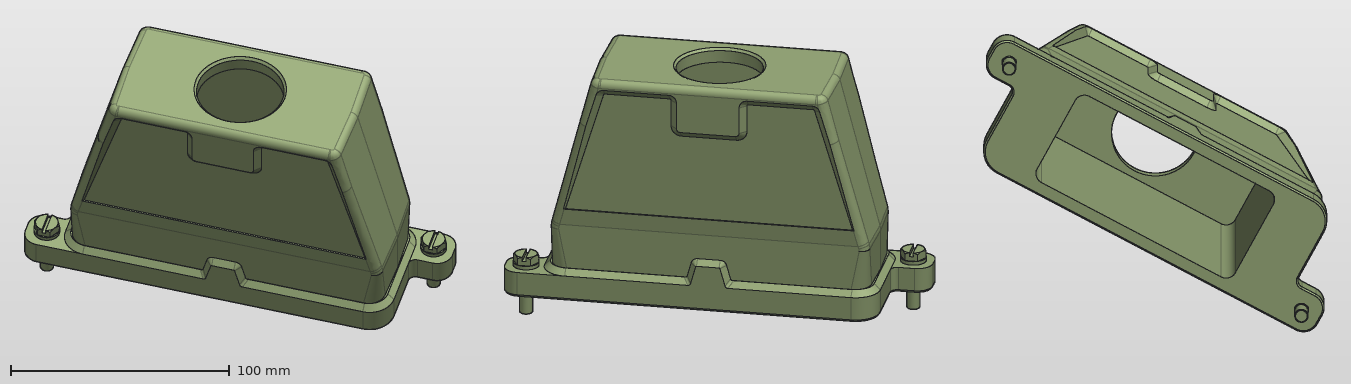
import cadquery as cq
import math

TOTAL_LENGTH = 192.0
FLANGE_LENGTH = 156.3
FLANGE_WIDTH = 58.0
FLANGE_HEIGHT = 12.0
FLANGE_CORNER_RADIUS = 11.5
RIM_HEIGHT = 2.9
BOTTOM_CHAMFER_HEIGHT = 1.05
BOTTOM_CHAMFER_INSET = 0.8

EAR_WIDTH = 19.2
EAR_CORNER_RADIUS = 7.3
EAR_ROOT_RADIUS = 3.3

BODY_TOP = 110.0
TAPER_BOTTOM = 36.5
TAPER_TOP = 87.0
END_SHOULDER = 35.3
SHOULDER_HALF_LENGTH = 74.9
TOP_HALF_LENGTH = 55.3
LOWER_HALF_WIDTH = 26.3
END_RIDGE = 1.0
SIDE_FILLET = 4.2
TOP_FILLET = 3.5
SHOULDER_FILLET = 9.6
FOOT_CORNER_RADIUS = 8.0

PANEL_BOTTOM = 44.4
PANEL_TOP = 102.7
PANEL_BOTTOM_HALF_LENGTH = 66.8
PANEL_TOP_HALF_LENGTH = 49.0
PANEL_DEPTH = 3.0
PANEL_CORNER_RADIUS = 0.5
TAB_HALF_LENGTH = 17.7
TAB_BOTTOM = 84.7
TAB_CORNER_RADIUS = 4.8

BUMP_TOP = 21.9
BUMP_TOP_HALF_LENGTH = 5.5
BUMP_SLOPE = 0.28
BUMP_CORNER_RADIUS = 0.4
BUMP_ROOT_RADIUS = 2.0

CABLE_HOLE_DIAMETER = 40.0
CABLE_HOLE_CHAMFER = 1.2
CAVITY_HALF_LENGTH = 51.5
CAVITY_HALF_WIDTH = 23.0
CAVITY_CORNER_RADIUS = 4.8
ROOF_THICKNESS = 7.0

SCREW_HOLE_DIAMETER = 6.5
SHANK_DIAMETER = 6.1
NECK_DIAMETER = 5.0
TIP_DEPTH = 11.3
NECK_DEPTH = 1.0
TIP_CHAMFER = 0.4
HEAD_DIAMETER = 12.0
WASHER_HEIGHT = 1.7
HEAD_HEIGHT = 5.8
HEAD_CHAMFER = 0.8
SLOT_WIDTH = 1.7
SLOT_DEPTH = 2.0

TOLERANCE = 0.02

RIM_TOP = FLANGE_HEIGHT + RIM_HEIGHT
HALF_WIDTH = FLANGE_WIDTH / 2
SCREW_X = TOTAL_LENGTH / 2 - EAR_WIDTH / 2
SCREW_Y = HALF_WIDTH - EAR_WIDTH / 2
SCREW_POINTS = [(-SCREW_X, -SCREW_Y), (SCREW_X, SCREW_Y)]
END_LEAN = math.atan((SHOULDER_HALF_LENGTH - TOP_HALF_LENGTH) / (BODY_TOP - END_SHOULDER))
FOOT_TOP = END_SHOULDER - SHOULDER_FILLET * math.tan(END_LEAN / 2)
BUMP_BASE_HALF_LENGTH = BUMP_TOP_HALF_LENGTH + BUMP_SLOPE * BUMP_TOP


def half_turn(shape):
    """Copy of a shape turned to the opposite corner or side."""
    return shape.rotate((0, 0, 0), (0, 0, 1), 180)


def space_above(height):
    """Block that covers everything above the given height."""
    return cq.Workplane("XY").workplane(offset=height).rect(TOTAL_LENGTH, TOTAL_LENGTH).extrude(BODY_TOP)


def fillet_where(shape, radius, is_wanted):
    """Round the edges whose centre passes the given test."""
    edges = [edge for edge in shape.edges().vals() if is_wanted(edge.Center())]
    return shape.newObject(edges).fillet(radius)


def rounded_polygon(y, points, radii):
    """Closed outline in the XZ plane at y; each (radius, test) pair rounds the corners that pass."""
    wire = cq.Wire.makePolygon([cq.Vector(x, y, z) for x, z in points], close=True)
    for radius, is_wanted in radii:
        wire = wire.fillet2D(radius, [corner for corner in wire.Vertices() if is_wanted(corner)])
    return cq.Workplane("XZ", origin=(0, y, 0)).add(wire).toPending()


def ridged_block(bottom, top, top_half_length=SHOULDER_HALF_LENGTH):
    """Block widest along its middle, so that both ends form a shallow upright ridge."""

    def outline(z, half_length):
        corner = half_length - END_RIDGE
        points = [
            (half_length, 0), (corner, HALF_WIDTH), (-corner, HALF_WIDTH),
            (-half_length, 0), (-corner, -HALF_WIDTH), (corner, -HALF_WIDTH),
        ]
        return cq.Wire.makePolygon([cq.Vector(x, y, z) for x, y in points], close=True)

    wires = [outline(bottom, SHOULDER_HALF_LENGTH), outline(top, top_half_length)]
    return cq.Workplane(cq.Solid.makeLoft(wires, True))


def is_corner(centre):
    return abs(centre.y) > LOWER_HALF_WIDTH - TOLERANCE and abs(centre.x) > TOP_HALF_LENGTH - END_RIDGE


def is_end_shoulder(centre):
    return abs(centre.z - END_SHOULDER) < TOLERANCE and abs(centre.x) > TOP_HALF_LENGTH


def is_top(centre):
    return abs(centre.z - BODY_TOP) < TOLERANCE


def make_upper_body():
    """Upright sides up to the shoulder, then ends leaning inward while front and back flare out."""
    block = ridged_block(0, END_SHOULDER).union(
        ridged_block(END_SHOULDER, BODY_TOP, TOP_HALF_LENGTH))
    side_profile = (
        cq.Workplane("YZ")
        .polyline([
            (-LOWER_HALF_WIDTH, 0), (-LOWER_HALF_WIDTH, TAPER_BOTTOM),
            (-HALF_WIDTH, TAPER_TOP), (-HALF_WIDTH, BODY_TOP),
            (HALF_WIDTH, BODY_TOP), (HALF_WIDTH, TAPER_TOP),
            (LOWER_HALF_WIDTH, TAPER_BOTTOM), (LOWER_HALF_WIDTH, 0),
        ]).close()
        .extrude(TOTAL_LENGTH / 2, both=True)
    )
    body = block.intersect(side_profile)
    body = fillet_where(body, SHOULDER_FILLET, is_end_shoulder)
    body = fillet_where(body, SIDE_FILLET, is_corner)
    body = fillet_where(body, TOP_FILLET, is_top)
    return body.intersect(space_above(FOOT_TOP))


def is_corner_upright(centre):
    return is_corner(centre) and RIM_TOP < centre.z < FOOT_TOP


def make_foot():
    """Lowest part of the body, whose corners widen towards the rim."""
    slab = ridged_block(RIM_TOP, FOOT_TOP).intersect(
        cq.Workplane("XY").box(TOTAL_LENGTH, 2 * LOWER_HALF_WIDTH, BODY_TOP))
    bottom = fillet_where(slab, FOOT_CORNER_RADIUS, is_corner_upright).faces("<Z").wires().val()
    top = fillet_where(slab, SIDE_FILLET, is_corner_upright).faces(">Z").wires().val()
    return cq.Workplane(cq.Solid.makeLoft([bottom, top], True))


def make_panel_recess():
    """Shallow front recess with 45 degree walls that leaves a rounded tab hanging from the top."""
    points = [
        (-PANEL_BOTTOM_HALF_LENGTH, PANEL_BOTTOM), (-PANEL_TOP_HALF_LENGTH, PANEL_TOP),
        (-TAB_HALF_LENGTH, PANEL_TOP), (-TAB_HALF_LENGTH, TAB_BOTTOM),
        (TAB_HALF_LENGTH, TAB_BOTTOM), (TAB_HALF_LENGTH, PANEL_TOP),
        (PANEL_TOP_HALF_LENGTH, PANEL_TOP), (PANEL_BOTTOM_HALF_LENGTH, PANEL_BOTTOM),
    ]
    radii = [
        (TAB_CORNER_RADIUS, lambda corner: abs(corner.Z - TAB_BOTTOM) < TOLERANCE),
        (PANEL_CORNER_RADIUS, lambda corner: abs(corner.Z - PANEL_TOP) < TOLERANCE),
    ]
    recess = rounded_polygon(PANEL_DEPTH - HALF_WIDTH, points, radii).extrude(PANEL_DEPTH, taper=-45)
    return recess.intersect(space_above(PANEL_BOTTOM))


def make_flange():
    """Rounded flange whose top slopes up to the body."""
    return (
        cq.Workplane("XY").rect(FLANGE_LENGTH, FLANGE_WIDTH).extrude(RIM_TOP)
        .edges("|Z").fillet(FLANGE_CORNER_RADIUS)
        .faces(">Z").edges().chamfer(RIM_HEIGHT)
    )


def make_ear():
    """Lug at the left front corner that carries one screw."""
    inner_x = -FLANGE_LENGTH / 4
    length = TOTAL_LENGTH / 2 + inner_x
    ear = (
        cq.Workplane("XY")
        .center(-TOTAL_LENGTH / 2 + length / 2, -SCREW_Y)
        .rect(length, EAR_WIDTH).extrude(FLANGE_HEIGHT)
        .edges("|Z and <X").fillet(EAR_CORNER_RADIUS)
    )
    root_x = -FLANGE_LENGTH / 2
    root_y = -HALF_WIDTH + EAR_WIDTH
    root = (
        cq.Workplane("XY").moveTo(root_x - EAR_ROOT_RADIUS, root_y)
        .radiusArc((root_x, root_y + EAR_ROOT_RADIUS), -EAR_ROOT_RADIUS)
        .lineTo(root_x, root_y).close()
        .extrude(FLANGE_HEIGHT)
    )
    return ear.union(root)


def make_bump():
    """Trapezoidal raised pad on the front of the rim, with 45 degree edges."""
    points = [
        (-BUMP_BASE_HALF_LENGTH, 0), (-BUMP_TOP_HALF_LENGTH, BUMP_TOP),
        (BUMP_TOP_HALF_LENGTH, BUMP_TOP), (BUMP_BASE_HALF_LENGTH, 0),
    ]
    radii = [(BUMP_CORNER_RADIUS, lambda corner: corner.Z > FLANGE_HEIGHT)]
    bump = rounded_polygon(-HALF_WIDTH, points, radii).extrude(-RIM_HEIGHT, taper=-45)
    return bump.intersect(space_above(0))


def is_bump_root(centre):
    beside_bump = BUMP_TOP_HALF_LENGTH < abs(centre.x) < BUMP_BASE_HALF_LENGTH
    on_slope = FLANGE_HEIGHT < centre.z < RIM_TOP and LOWER_HALF_WIDTH < abs(centre.y) < HALF_WIDTH
    return beside_bump and on_slope


def make_base():
    """Flange with its two ears, the two raised pads and the chamfered underside."""
    base = make_flange()
    for part in (make_ear(), make_bump()):
        base = base.union(part).union(half_turn(part))
    return base.faces("<Z").chamfer(BOTTOM_CHAMFER_INSET, BOTTOM_CHAMFER_HEIGHT)


def make_cavity():
    """Rounded pocket, open at the underside."""
    return (
        cq.Workplane("XY").rect(2 * CAVITY_HALF_LENGTH, 2 * CAVITY_HALF_WIDTH)
        .extrude(BODY_TOP - ROOF_THICKNESS)
        .edges("|Z").fillet(CAVITY_CORNER_RADIUS)
    )


def make_cable_hole():
    """Round hole through the roof with a chamfered mouth."""
    radius = CABLE_HOLE_DIAMETER / 2
    hole = cq.Workplane("XY").circle(radius).extrude(BODY_TOP)
    mouth = (
        cq.Workplane("XY").workplane(offset=BODY_TOP)
        .circle(radius + CABLE_HOLE_CHAMFER).extrude(-CABLE_HOLE_CHAMFER, taper=45)
    )
    return hole.union(mouth)


def make_hood():
    """Hood with its flange, hollowed and drilled."""
    hood = make_base().union(make_foot())
    hood = fillet_where(hood, BUMP_ROOT_RADIUS, is_bump_root)
    hood = hood.union(make_upper_body())
    recess = make_panel_recess()
    screw_holes = (
        cq.Workplane("XY").pushPoints(SCREW_POINTS)
        .circle(SCREW_HOLE_DIAMETER / 2).extrude(FLANGE_HEIGHT)
    )
    for cutter in (recess, half_turn(recess), make_cavity(), make_cable_hole(), screw_holes):
        hood = hood.cut(cutter)
    return hood


def make_screw(x, y):
    """Slotted hexagon screw, its washer face seated on the flange."""
    neck_radius = NECK_DIAMETER / 2
    shank_radius = SHANK_DIAMETER / 2
    washer_top = FLANGE_HEIGHT + WASHER_HEIGHT
    step = shank_radius - neck_radius
    turned = (
        cq.Workplane("XZ")
        .polyline([
            (0, -TIP_DEPTH), (shank_radius - TIP_CHAMFER, -TIP_DEPTH),
            (shank_radius, -TIP_DEPTH + TIP_CHAMFER), (shank_radius, -NECK_DEPTH - step),
            (neck_radius, -NECK_DEPTH), (neck_radius, FLANGE_HEIGHT),
            (HEAD_DIAMETER / 2, FLANGE_HEIGHT), (HEAD_DIAMETER / 2, washer_top), (0, washer_top),
        ]).close()
        .revolve(360, (0, 0, 0), (0, 1, 0))
    )
    hex_height = HEAD_HEIGHT - WASHER_HEIGHT
    at_washer = cq.Workplane("XY").workplane(offset=washer_top)
    chamfered = at_washer.circle(HEAD_DIAMETER / 2).extrude(hex_height).faces(">Z").chamfer(HEAD_CHAMFER)
    head = at_washer.polygon(6, HEAD_DIAMETER).extrude(hex_height).intersect(chamfered)
    slot = (
        cq.Workplane("XY").workplane(offset=FLANGE_HEIGHT + HEAD_HEIGHT)
        .rect(SLOT_WIDTH, HEAD_DIAMETER).extrude(-SLOT_DEPTH)
    )
    return turned.union(head).cut(slot).translate((x, y, 0))


hood = make_hood()
screws = [make_screw(x, y) for x, y in SCREW_POINTS]
result = cq.Compound.makeCompound([hood.val(), *[screw.val() for screw in screws]])